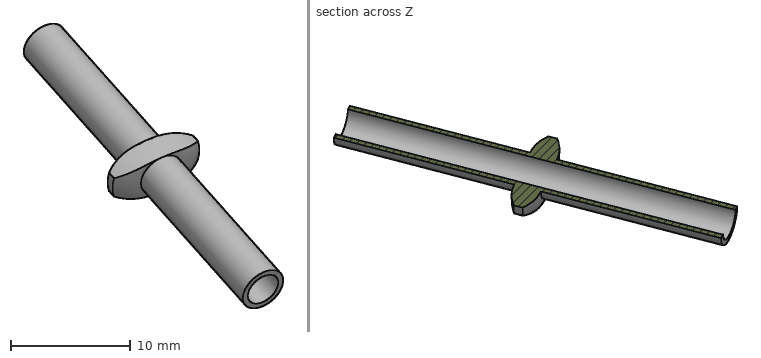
import cadquery as cq
import math

tube_length = 34.5
tube_diameter = 4.0
bore_diameter = 3.0

collar_span = 8.6
collar_root_width = 2.4
collar_tip_width = 0.8
collar_tip_height = 2.17

tube_radius = tube_diameter / 2
tip_radius = collar_span / 2
tip_corner_y = math.sqrt(tip_radius**2 - (collar_tip_height / 2) ** 2)


def arc_radius(run, drop):
    """Radius of an arc that starts tangent to its run and falls by drop."""
    return (run**2 + drop**2) / (2 * drop)


def make_collar_disc():
    """Disc about X whose flanks start square to the tube and curve inward to the rim."""
    root_x = collar_root_width / 2
    tip_x = collar_tip_width / 2
    flank_run = tip_radius - tube_radius
    flank_radius = arc_radius(flank_run, root_x - tip_x)
    mid_angle = math.asin(flank_run / flank_radius) / 2
    mid_x = root_x - flank_radius * (1 - math.cos(mid_angle))
    mid_y = tube_radius + flank_radius * math.sin(mid_angle)
    return (
        cq.Workplane("XY")
        .moveTo(-root_x, 0)
        .lineTo(-root_x, tube_radius)
        .threePointArc((-mid_x, mid_y), (-tip_x, tip_radius))
        .lineTo(tip_x, tip_radius)
        .threePointArc((mid_x, mid_y), (root_x, tube_radius))
        .lineTo(root_x, 0)
        .close()
        .revolve(360, (0, 0, 0), (1, 0, 0))
    )


def make_collar_envelope():
    """Lens-like prism along X that trims the disc to curved top and bottom faces."""
    tip_z = collar_tip_height / 2
    crown_drop = tube_radius - tip_z
    crown_radius = arc_radius(tip_corner_y, crown_drop)
    crown_center_z = tube_radius - crown_radius
    point_y = math.sqrt(crown_radius**2 - crown_center_z**2)
    return (
        cq.Workplane("YZ")
        .moveTo(-point_y, 0)
        .threePointArc((0, tube_radius), (point_y, 0))
        .threePointArc((0, -tube_radius), (-point_y, 0))
        .close()
        .extrude(collar_root_width, both=True)
    )


tube = cq.Workplane("YZ").circle(tube_radius).extrude(tube_length / 2, both=True)
bore = cq.Workplane("YZ").circle(bore_diameter / 2).extrude(tube_length / 2, both=True)
collar = make_collar_disc().intersect(make_collar_envelope())

result = tube.union(collar).cut(bore)